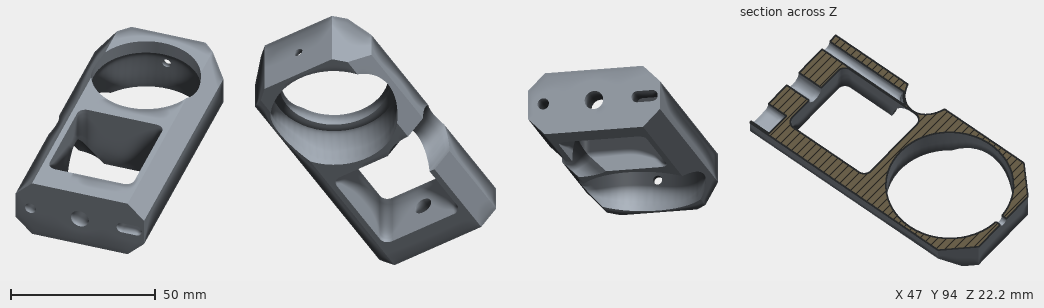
import cadquery as cq
import math

WIDTH = 47.0
LENGTH = 94.0
HEIGHT = 22.2
EDGE_CHAMFER = 6.0
END_CHAMFER = 10.0
MID_HEIGHT = HEIGHT / 2
FRONT_Y = -LENGTH / 2
BACK_Y = LENGTH / 2

BORE_Y = 23.0
LIP_DIAMETER = 38.0
LIP_HEIGHT = 5.0
BORE_DIAMETER = 44.0

WINDOW_WIDTH = 31.0
WINDOW_FRONT_Y = -36.9
WINDOW_BACK_Y = -1.9
WINDOW_CORNER_RADIUS = 3.0

CHANNEL_Y = -6.6
CHANNEL_DIAMETER = 17.9
CHANNEL_WALL = 0.6

CENTRE_HOLE_DIAMETER = 6.6
PIN_DIAMETER = 4.0
PIN_OFFSET = 18.05
SLOT_LENGTH = 9.3
SLOT_DEPTH = 8.0
SCREW_DIAMETER = 3.2


def make_body():
    """Bar with its long edges and its back vertical edges chamfered."""
    bar = cq.Workplane("XY").box(WIDTH, LENGTH, HEIGHT, centered=(True, True, False))
    bar = bar.edges("|Y").chamfer(EDGE_CHAMFER)
    plan = (
        cq.Workplane("XY")
        .rect(WIDTH, LENGTH)
        .extrude(HEIGHT)
        .edges("|Z and >Y")
        .chamfer(END_CHAMFER)
    )
    return bar.intersect(plan)


def make_stepped_bore():
    wide = cq.Workplane("XY").center(0, BORE_Y).circle(BORE_DIAMETER / 2).extrude(HEIGHT - LIP_HEIGHT)
    lip = cq.Workplane("XY").center(0, BORE_Y).circle(LIP_DIAMETER / 2).extrude(HEIGHT)
    return wide.union(lip)


def make_window():
    length = WINDOW_BACK_Y - WINDOW_FRONT_Y
    return (
        cq.Workplane("XY")
        .center(0, (WINDOW_FRONT_Y + WINDOW_BACK_Y) / 2)
        .rect(WINDOW_WIDTH, length)
        .extrude(HEIGHT)
        .edges("|Z")
        .fillet(WINDOW_CORNER_RADIUS)
    )


def channel_cylinder(radius):
    """Channel-axis cylinder descending at 45 degrees toward +X, long enough to clear the body."""
    chamfer_mid = cq.Vector(-(WIDTH - EDGE_CHAMFER) / 2, CHANNEL_Y, EDGE_CHAMFER / 2)
    direction = cq.Vector(1, 0, -1) / math.sqrt(2)
    start = chamfer_mid - direction * HEIGHT
    return cq.Workplane(cq.Solid.makeCylinder(radius, 2 * HEIGHT, start, direction))


def hole_along_y(x, diameter, start_y, end_y):
    start = cq.Vector(x, start_y, MID_HEIGHT)
    return cq.Workplane(cq.Solid.makeCylinder(diameter / 2, end_y - start_y, start, cq.Vector(0, 1, 0)))


def make_pin_slot():
    return (
        cq.Workplane("XZ", origin=(PIN_OFFSET, FRONT_Y, MID_HEIGHT))
        .slot2D(SLOT_LENGTH, PIN_DIAMETER)
        .extrude(-SLOT_DEPTH)
    )


def make_pin_hole():
    """Hole beside the window, its end curved to leave an even wall around the channel."""
    hole = hole_along_y(-PIN_OFFSET, PIN_DIAMETER, FRONT_Y, CHANNEL_Y)
    return hole.cut(channel_cylinder(CHANNEL_DIAMETER / 2 + CHANNEL_WALL))


cutters = [
    make_stepped_bore(),
    make_window(),
    channel_cylinder(CHANNEL_DIAMETER / 2),
    make_pin_hole(),
    make_pin_slot(),
    hole_along_y(0, CENTRE_HOLE_DIAMETER, FRONT_Y, WINDOW_FRONT_Y),
    hole_along_y(0, SCREW_DIAMETER, BORE_Y, BACK_Y),
]

result = make_body()
for cutter in cutters:
    result = result.cut(cutter)